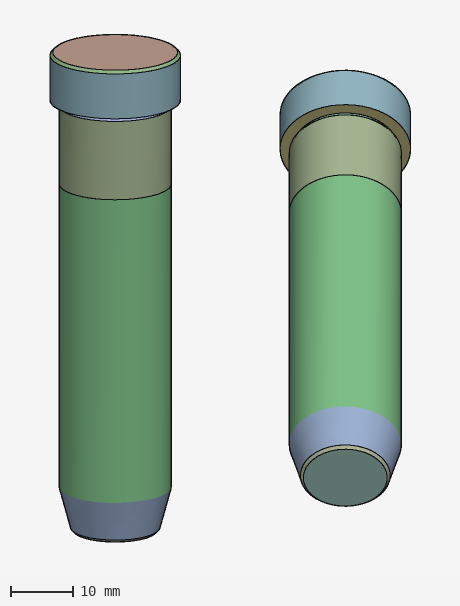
import cadquery as cq

total_length = 80.0
head_diameter = 21.0
shank_diameter = 18.0

head_height = 8.0
head_chamfer = 0.5
groove_diameter = 17.0
groove_floor_height = 0.4

upper_length = 22.0

taper_length = 7.2
tip_diameter = 14.4
tip_chamfer = 0.5

head_radius = head_diameter / 2
shank_radius = shank_diameter / 2
groove_radius = groove_diameter / 2
tip_radius = tip_diameter / 2
joint_z = total_length - upper_length
head_bottom_z = total_length - head_height
groove_bottom_z = head_bottom_z - groove_floor_height
shoulder_z = groove_bottom_z - (shank_radius - groove_radius)


def revolve_about_z(profile):
    """Turn a closed radius-height profile around the Z axis."""
    return profile.close().revolve(360, (0, 0, 0), (0, 1, 0))


def make_head_piece():
    """Chamfered head, relief groove and the upper part of the shank."""
    profile = (
        cq.Workplane("XZ")
        .moveTo(0, joint_z)
        .lineTo(shank_radius, joint_z)
        .lineTo(shank_radius, shoulder_z)
        .lineTo(groove_radius, groove_bottom_z)
        .lineTo(groove_radius, head_bottom_z)
        .lineTo(head_radius, head_bottom_z)
        .lineTo(head_radius, total_length - head_chamfer)
        .lineTo(head_radius - head_chamfer, total_length)
        .lineTo(0, total_length)
    )
    return revolve_about_z(profile)


def make_guide_shank():
    """Plain shank with a conical lead-in and a chamfered tip."""
    profile = (
        cq.Workplane("XZ")
        .moveTo(0, 0)
        .lineTo(tip_radius - tip_chamfer, 0)
        .lineTo(tip_radius, tip_chamfer)
        .lineTo(shank_radius, taper_length)
        .lineTo(shank_radius, joint_z)
        .lineTo(0, joint_z)
    )
    return revolve_about_z(profile)


head_piece = make_head_piece()
guide_shank = make_guide_shank()
result = cq.Compound.makeCompound([head_piece.val(), guide_shank.val()])